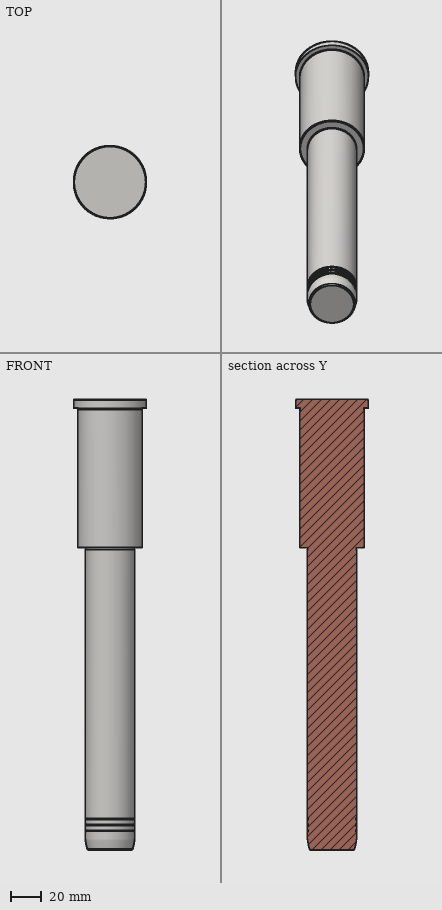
import cadquery as cq

total_length = 291.0

flange_radius = 23.5
flange_height = 5.8
flange_chamfer = 0.5

body_radius = 21.0
body_bottom_z = 195.0
body_chamfer = 0.5

stem_radius = 16.0

relief_height = 1.2
relief_depth = 0.3

groove_count = 3
lowest_groove_z = 12.5
groove_pitch = 3.8
groove_width = 1.0
groove_depth = 0.5

tip_height = 7.0
tip_radius = 14.8
tip_bulge = 0.15
tip_chamfer = 1.0


def turned_blank():
    """Flange, body, stem and rounded tip as one revolved half profile."""
    flange_bottom_z = total_length - flange_height
    tip_middle = (
        (stem_radius + tip_radius) / 2 + tip_bulge,
        (tip_height + tip_chamfer) / 2,
    )
    return (
        cq.Workplane("XZ")
        .lineTo(tip_radius - tip_chamfer, 0)
        .lineTo(tip_radius, tip_chamfer)
        .threePointArc(tip_middle, (stem_radius, tip_height))
        .lineTo(stem_radius, body_bottom_z)
        .lineTo(body_radius - body_chamfer, body_bottom_z)
        .lineTo(body_radius, body_bottom_z + body_chamfer)
        .lineTo(body_radius, flange_bottom_z)
        .lineTo(flange_radius, flange_bottom_z)
        .lineTo(flange_radius, total_length - flange_chamfer)
        .lineTo(flange_radius - flange_chamfer, total_length)
        .lineTo(0, total_length)
        .close()
        .revolve(360, (0, 0, 0), (0, 1, 0))
    )


def ring(outer_radius, depth, bottom_z, height):
    """Ring that removes a band of the given depth from a round surface."""
    return (
        cq.Workplane("XY")
        .workplane(offset=bottom_z)
        .circle(outer_radius)
        .circle(outer_radius - depth)
        .extrude(height)
    )


result = turned_blank()

shoulders = [
    (body_radius, total_length - flange_height),
    (stem_radius, body_bottom_z),
]
for radius, shoulder_z in shoulders:
    result = result.cut(ring(radius, relief_depth, shoulder_z - relief_height, relief_height))

for index in range(groove_count):
    groove_bottom_z = lowest_groove_z + index * groove_pitch - groove_width / 2
    result = result.cut(ring(stem_radius, groove_depth, groove_bottom_z, groove_width))